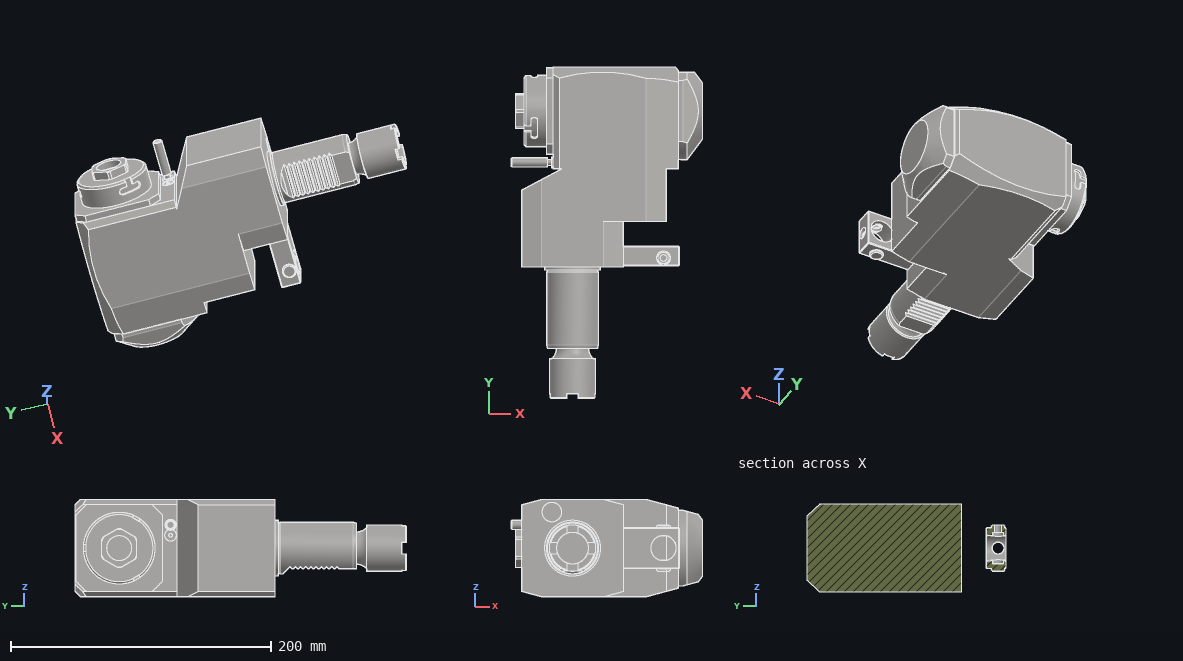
import cadquery as cq
import math


HALF_HEIGHT = 37.5
BODY_BACK_Y = 154.0
BASE_HALF_WIDTH = 39.2
BASE_FLAT_HALF_WIDTH = 23.7
BEVEL_ANGLE = 15.0
BASE_STEP_Y = 35.0
HEAD_FRONT_Y = 75.5
MIDDLE_RIGHT_X = 72.2
HEAD_LEFT_X = -15.0
HEAD_RIGHT_X = 81.5
HEAD_FLAT_LEFT_X = -10.0
HEAD_FLAT_RIGHT_X = 56.7
HEAD_LEFT_HALF_HEIGHT = 33.5
RELIEF_START_Y = 59.2
RELIEF_END_X = -8.5
BACK_CORNER_CHAMFER = 2.7

TURNING_X = 23.0
TURNING_Y = 30.0
TURNING_RADIUS = 120.0

PLUG_X = -15.9
PLUG_Z = 27.7
PLUG_RADIUS = 7.5
PLUG_RECESS = 1.0

COLLAR_RADIUS = 21.5
COLLAR_LENGTH = 2.4
UNDERCUT_END_Y = -3.8
UNDERCUT_RADIUS = 19.6
SHANK_RADIUS = 20.0
SHANK_CHAMFER_Y = -59.8
SHANK_END_Y = -62.7
SHANK_END_RADIUS = 19.3
NECK_RADIUS = 12.5
NECK_MIDDLE_Y = -67.0
NECK_MIDDLE_RADIUS = 13.5
NECK_END_RADIUS = 16.0

DRIVE_RADIUS = 17.85
DRIVE_START_Y = -70.4
DRIVE_END_Y = -101.0
DRIVE_CHAMFER = 0.7
DRIVE_BORE_RADIUS = 12.2
DRIVE_BORE_DEPTH = 4.5
DRIVE_SLOT_WIDTH = 8.8
DRIVE_SLOT_DEPTH = 3.5

FLAT_Z = -15.9
FLAT_START_Y = -10.0
TOOTH_COUNT = 10
TOOTH_PITCH = 4.0
TOOTH_DEPTH = 1.6
FIRST_TOOTH_Y = -11.5

SPINDLE_Y = 120.0
PLATE_LEFT_X = -20.2
PLATE_HALF_SIZE = 33.4
PLATE_CORNER = 8.0
NUT_LEFT_X = -37.5
NUT_RADIUS = 27.6
NUT_CHAMFER = 1.7
NUT_SLOT_COUNT = 3
NUT_SLOT_DEPTH = 2.0
NUT_SLOT_X = -29.4
NUT_SLOT_WIDTH = 5.2
NUT_SLOT_LENGTH = 18.7
NUT_NOTCH_WIDTH = 5.5
HEX_LEFT_X = -44.0
HEX_ACROSS_FLATS = 27.0
HEX_CORNER_RADIUS = 15.0
HEX_CHAMFER = 0.5
HEX_BORE_RADIUS = 9.6
HEX_BORE_DEPTH = 6.0

PIN_Y = 80.5
PIN_Z = 17.9
PIN_RADIUS = 3.6
PIN_LEFT_X = -47.33
PIN_RIGHT_X = -19.3
PIN_CHAMFER = 0.8
PIN_NECK_RADIUS = 2.4
PIN_FOOT_RADIUS = 4.2
PIN_FOOT_LENGTH = 1.0
SCREW_Z = 9.9
SCREW_RADIUS = 4.5
SCREW_RECESS = 0.5
SCREW_SOCKET_RADIUS = 1.4
SCREW_SOCKET_DEPTH = 2.0

CAP_RADIUS = SPINDLE_Y - 82.5
CAP_RIM_X = 88.2
CAP_END_X = 100.0
CAP_END_RADIUS = 21.7
CAP_BACK_Y = 150.0
CAP_FLAT_HALF_HEIGHT = 29.2
CAP_FLAT_END_X = 84.8

BLOCK_RIGHT_X = 82.2
BLOCK_FRONT_Y = 0.9
BLOCK_BACK_Y = 16.2
BLOCK_HALF_HEIGHT = 15.8
BLOCK_CHAMFER = 0.6
BLOCK_BORE_X = 70.0
BLOCK_BORE_RADIUS = 9.7
PORT_Y = 7.0
SIDE_PORT_RADIUS = 4.5
UPRIGHT_PORT_RADIUS = 4.0
UPRIGHT_PORT_END_Z = 12.0
NOZZLE_RADIUS = 5.3
NOZZLE_START_Z = 9.2
NOZZLE_END_Z = 17.8
NOZZLE_CHAMFER = 0.9
NOZZLE_HOLE_RADIUS = 2.6


def cylinder_x(x_start, x_end, y, z, radius):
    """Cylinder parallel to X."""
    return cq.Workplane("YZ", origin=(x_start, y, z)).circle(radius).extrude(x_end - x_start)


def cylinder_z(z_start, z_end, radius):
    """Cylinder parallel to Z on the coolant nozzle axis."""
    return cq.Workplane("XY", origin=(BLOCK_BORE_X, PORT_Y, z_start)).circle(radius).extrude(z_end - z_start)


def box(x_range, y_range, z_range):
    """Axis-parallel box between the given limits."""
    sizes = [high - low for low, high in (x_range, y_range, z_range)]
    return cq.Workplane("XY", origin=(x_range[0], y_range[0], z_range[0])).box(*sizes, centered=False)


def bevel_drop(run):
    """Drop of a bevelled side over a horizontal run."""
    return run * math.tan(math.radians(BEVEL_ANGLE))


def bevelled_prism(left, flat_left, left_height, right, flat_right, y_start, y_end):
    """Stretch of the body along Y: flat above and below, with both sides bevelled."""
    right_height = HALF_HEIGHT - bevel_drop(right - flat_right)
    upper = [(left, left_height), (flat_left, HALF_HEIGHT), (flat_right, HALF_HEIGHT), (right, right_height)]
    lower = [(x, -z) for x, z in reversed(upper)]
    section = cq.Workplane("XZ", origin=(0, y_end, 0)).polyline(upper + lower).close()
    return section.extrude(y_end - y_start)


def spindle_plate():
    """Square plate with cut corners that carries the spindle nut."""
    plate = box(
        (PLATE_LEFT_X, HEAD_LEFT_X),
        (SPINDLE_Y - PLATE_HALF_SIZE, SPINDLE_Y + PLATE_HALF_SIZE),
        (-PLATE_HALF_SIZE, PLATE_HALF_SIZE),
    )
    return plate.edges("|X").chamfer(PLATE_CORNER)


def turned_back():
    """Double cone that rounds off the back of the head, above and below."""
    tip_radius = TURNING_RADIUS + HALF_HEIGHT
    profile = [
        (0, -HALF_HEIGHT),
        (TURNING_RADIUS, -HALF_HEIGHT),
        (tip_radius, 0),
        (TURNING_RADIUS, HALF_HEIGHT),
        (0, HALF_HEIGHT),
    ]
    section = cq.Workplane("XZ").polyline(profile).close()
    return section.revolve(360, (0, 0), (0, 1)).translate((TURNING_X, TURNING_Y, 0))


def body():
    base_side_height = HALF_HEIGHT - bevel_drop(BASE_HALF_WIDTH - BASE_FLAT_HALF_WIDTH)
    base_left = (-BASE_HALF_WIDTH, -BASE_FLAT_HALF_WIDTH, base_side_height)
    base = bevelled_prism(*base_left, BASE_HALF_WIDTH, BASE_FLAT_HALF_WIDTH, 0, BASE_STEP_Y)
    middle = bevelled_prism(*base_left, MIDDLE_RIGHT_X, HEAD_FLAT_RIGHT_X, BASE_STEP_Y, HEAD_FRONT_Y)
    relief = (
        cq.Workplane("XY", origin=(0, 0, -HALF_HEIGHT))
        .polyline([
            (-BASE_HALF_WIDTH, RELIEF_START_Y),
            (RELIEF_END_X, HEAD_FRONT_Y),
            (-BASE_HALF_WIDTH, HEAD_FRONT_Y),
        ])
        .close()
        .extrude(2 * HALF_HEIGHT)
    )
    head = bevelled_prism(
        HEAD_LEFT_X, HEAD_FLAT_LEFT_X, HEAD_LEFT_HALF_HEIGHT,
        HEAD_RIGHT_X, HEAD_FLAT_RIGHT_X, HEAD_FRONT_Y, BODY_BACK_Y,
    )
    head = head.faces(">X").edges(">Y").chamfer(BACK_CORNER_CHAMFER)
    head = head.intersect(turned_back()).union(spindle_plate())
    plug = cq.Workplane("XZ", origin=(PLUG_X, PLUG_RECESS, PLUG_Z)).circle(PLUG_RADIUS).extrude(PLUG_RECESS)
    return base.union(middle.cut(relief)).union(head).cut(plug)


def toothed_flat():
    """Cutter for the flat under the shank and the row of V grooves in it."""
    reach = COLLAR_RADIUS + SHANK_RADIUS
    runout = reach + FLAT_Z
    side = [
        (FLAT_START_Y, FLAT_Z),
        (SHANK_END_Y, FLAT_Z),
        (SHANK_END_Y, -reach),
        (FLAT_START_Y + runout, -reach),
    ]
    plane = cq.Workplane("YZ", origin=(-SHANK_RADIUS, 0, 0))
    cutter = plane.polyline(side).close().extrude(2 * SHANK_RADIUS)
    collar_guard = box((-reach, reach), (-COLLAR_LENGTH, reach), (-2 * reach, reach))
    cutter = cutter.cut(collar_guard)
    for index in range(TOOTH_COUNT):
        y = FIRST_TOOTH_Y - index * TOOTH_PITCH
        groove = [
            (y - 2 * TOOTH_DEPTH, FLAT_Z - TOOTH_DEPTH),
            (y, FLAT_Z + TOOTH_DEPTH),
            (y + 2 * TOOTH_DEPTH, FLAT_Z - TOOTH_DEPTH),
        ]
        cutter = cutter.union(plane.polyline(groove).close().extrude(2 * SHANK_RADIUS))
    return cutter


def shank():
    """Collar, clamping shank, neck and drive head, turned about the Y axis."""
    turned = (
        cq.Workplane("XY")
        .lineTo(COLLAR_RADIUS, 0)
        .lineTo(COLLAR_RADIUS, -COLLAR_LENGTH)
        .lineTo(UNDERCUT_RADIUS, -COLLAR_LENGTH)
        .lineTo(UNDERCUT_RADIUS, UNDERCUT_END_Y)
        .lineTo(SHANK_RADIUS, UNDERCUT_END_Y)
        .lineTo(SHANK_RADIUS, SHANK_CHAMFER_Y)
        .lineTo(SHANK_END_RADIUS, SHANK_END_Y)
        .lineTo(NECK_RADIUS, SHANK_END_Y)
        .threePointArc((NECK_MIDDLE_RADIUS, NECK_MIDDLE_Y), (NECK_END_RADIUS, DRIVE_START_Y))
        .lineTo(DRIVE_RADIUS, DRIVE_START_Y)
        .lineTo(DRIVE_RADIUS, DRIVE_END_Y + DRIVE_CHAMFER)
        .lineTo(DRIVE_RADIUS - DRIVE_CHAMFER, DRIVE_END_Y)
        .lineTo(DRIVE_BORE_RADIUS, DRIVE_END_Y)
        .lineTo(DRIVE_BORE_RADIUS, DRIVE_END_Y + DRIVE_BORE_DEPTH)
        .lineTo(0, DRIVE_END_Y + DRIVE_BORE_DEPTH)
        .close()
        .revolve(360, (0, 0), (0, 1))
    )
    half_slot = DRIVE_SLOT_WIDTH / 2
    across = (-DRIVE_RADIUS, DRIVE_RADIUS)
    along = (-half_slot, half_slot)
    slot_depth = (DRIVE_END_Y, DRIVE_END_Y + DRIVE_SLOT_DEPTH)
    slots = box(across, slot_depth, along).union(box(along, slot_depth, across))
    return turned.cut(slots).cut(toothed_flat())


def spindle_nut():
    """Round nut with spanner slots, and the hexagon with its bore."""
    nut = cylinder_x(NUT_LEFT_X, PLATE_LEFT_X, SPINDLE_Y, 0, NUT_RADIUS).faces("<X").chamfer(NUT_CHAMFER)
    slot = (
        cq.Workplane("XZ", origin=(NUT_SLOT_X, SPINDLE_Y + NUT_RADIUS, 0))
        .slot2D(NUT_SLOT_LENGTH, NUT_SLOT_WIDTH, 90)
        .extrude(NUT_RADIUS)
    )
    half_notch = NUT_NOTCH_WIDTH / 2
    notch = box((NUT_LEFT_X, NUT_SLOT_X), (SPINDLE_Y, SPINDLE_Y + NUT_RADIUS), (-half_notch, half_notch))
    core = cylinder_x(NUT_LEFT_X, PLATE_LEFT_X, SPINDLE_Y, 0, NUT_RADIUS - NUT_SLOT_DEPTH)
    cutter = slot.union(notch).cut(core)
    for index in range(NUT_SLOT_COUNT):
        angle = index * 360 / NUT_SLOT_COUNT
        nut = nut.cut(cutter.rotate((0, SPINDLE_Y, 0), (1, SPINDLE_Y, 0), angle))

    sharp_diameter = HEX_ACROSS_FLATS / math.cos(math.radians(30))
    hexagon = (
        cq.Workplane("YZ", origin=(HEX_LEFT_X, SPINDLE_Y, 0))
        .polygon(6, sharp_diameter)
        .extrude(NUT_LEFT_X - HEX_LEFT_X)
        .rotate((0, SPINDLE_Y, 0), (1, SPINDLE_Y, 0), 30)
    )
    rounding = cylinder_x(HEX_LEFT_X, NUT_LEFT_X, SPINDLE_Y, 0, HEX_CORNER_RADIUS)
    rounding = rounding.faces("<X").chamfer(HEX_CHAMFER)
    bore = cylinder_x(HEX_LEFT_X, HEX_LEFT_X + HEX_BORE_DEPTH, SPINDLE_Y, 0, HEX_BORE_RADIUS)
    return nut.union(hexagon.intersect(rounding)).cut(bore)


def stop_pin():
    pin = cylinder_x(PIN_LEFT_X, PIN_RIGHT_X, PIN_Y, PIN_Z, PIN_RADIUS).faces("<X").chamfer(PIN_CHAMFER)
    neck = cylinder_x(PIN_RIGHT_X, HEAD_LEFT_X, PIN_Y, PIN_Z, PIN_NECK_RADIUS)
    foot = cylinder_x(HEAD_LEFT_X - PIN_FOOT_LENGTH, HEAD_LEFT_X, PIN_Y, PIN_Z, PIN_FOOT_RADIUS)
    return pin.union(neck).union(foot)


def screw_recess():
    """Cutter for the sunk screw head next to the stop pin, with its socket."""
    recess = cylinder_x(HEAD_LEFT_X, HEAD_LEFT_X + SCREW_RECESS, PIN_Y, SCREW_Z, SCREW_RADIUS)
    socket = cylinder_x(HEAD_LEFT_X, HEAD_LEFT_X + SCREW_SOCKET_DEPTH, PIN_Y, SCREW_Z, SCREW_SOCKET_RADIUS)
    return recess.union(socket)


def rear_cap():
    """Turned cap on the spindle axis, trimmed at the back and by flats that slope like the body's bevels."""
    turned = (
        cq.Workplane("XY", origin=(0, SPINDLE_Y, 0))
        .moveTo(HEAD_RIGHT_X, 0)
        .lineTo(HEAD_RIGHT_X, CAP_RADIUS)
        .lineTo(CAP_RIM_X, CAP_RADIUS)
        .lineTo(CAP_END_X, CAP_END_RADIUS)
        .lineTo(CAP_END_X, 0)
        .close()
        .revolve(360, (0, 0), (1, 0))
    )
    end_half_height = CAP_FLAT_HALF_HEIGHT - bevel_drop(CAP_END_X - CAP_FLAT_END_X)
    envelope = (
        cq.Workplane("XZ", origin=(0, CAP_BACK_Y, 0))
        .polyline([
            (HEAD_RIGHT_X, CAP_FLAT_HALF_HEIGHT),
            (CAP_FLAT_END_X, CAP_FLAT_HALF_HEIGHT),
            (CAP_END_X, end_half_height),
            (CAP_END_X, -end_half_height),
            (CAP_FLAT_END_X, -CAP_FLAT_HALF_HEIGHT),
            (HEAD_RIGHT_X, -CAP_FLAT_HALF_HEIGHT),
        ])
        .close()
        .extrude(CAP_BACK_Y - SPINDLE_Y + CAP_RADIUS)
    )
    return turned.intersect(envelope)


def coolant_block():
    """Block on the side of the base with a cross bore, ports, an open upper nozzle and a closed lower one."""
    block = box(
        (BASE_HALF_WIDTH, BLOCK_RIGHT_X),
        (BLOCK_FRONT_Y, BLOCK_BACK_Y),
        (-BLOCK_HALF_HEIGHT, BLOCK_HALF_HEIGHT),
    )
    block = block.edges("not <X").chamfer(BLOCK_CHAMFER)
    bore = (
        cq.Workplane("XZ", origin=(BLOCK_BORE_X, BLOCK_BACK_Y, 0))
        .circle(BLOCK_BORE_RADIUS)
        .extrude(BLOCK_BACK_Y - BLOCK_FRONT_Y)
    )
    side_port = cylinder_x(BLOCK_BORE_X, BLOCK_RIGHT_X, PORT_Y, 0, SIDE_PORT_RADIUS)
    upright_port = cylinder_z(-UPRIGHT_PORT_END_Z, UPRIGHT_PORT_END_Z, UPRIGHT_PORT_RADIUS)
    nozzle_hole = cylinder_z(0, NOZZLE_END_Z, NOZZLE_HOLE_RADIUS)
    nozzle = cylinder_z(NOZZLE_START_Z, NOZZLE_END_Z, NOZZLE_RADIUS).faces(">Z").chamfer(NOZZLE_CHAMFER)
    block = block.cut(bore).cut(side_port).union(nozzle).union(nozzle.mirror("XY"))
    return block.cut(upright_port).cut(nozzle_hole)



result = (
    body()
    .union(shank())
    .union(spindle_nut())
    .union(stop_pin())
    .union(rear_cap())
    .union(coolant_block())
    .cut(screw_recess())
)